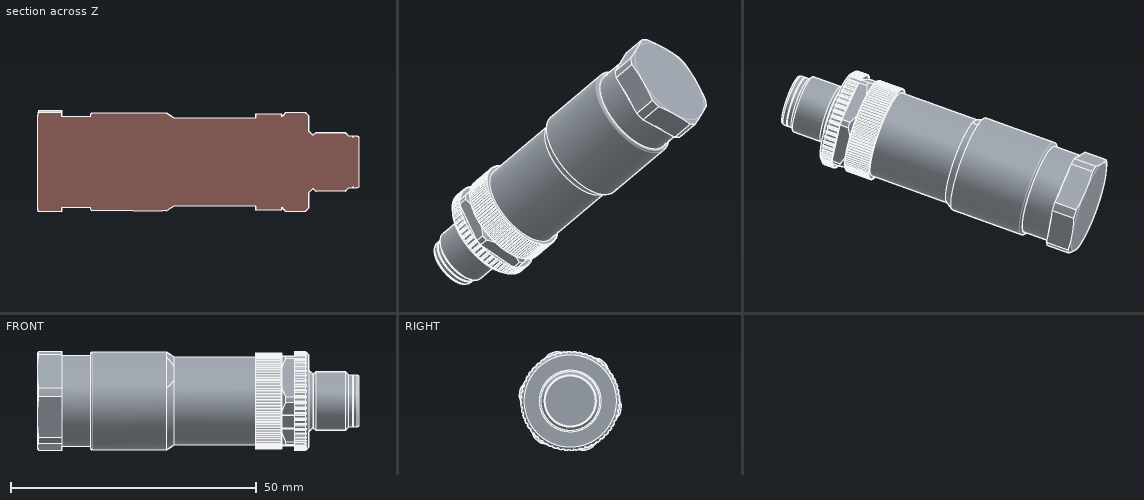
import cadquery as cq
import math


CAP_LENGTH = 5.0
CAP_FLATS = 19.0
CAP_CORNER_R = 10.5
CAP_CHAMFER = 0.25
CAP_CORNER_ANGLE = -9.8

NECK_R = 18.6 / 2
SLEEVE_R = 20.0 / 2
SLEEVE_START = 10.8
SLEEVE_END = 26.25
SLEEVE_ROUND = 0.4
TAPER_END = 27.85
BODY_R = 18.0 / 2

FACET_ANGLE = 140.5
FACET_START_R = 9.1
FACET_END_R = 8.85

COLLAR_START = 44.4
COLLAR_R = 9.8
COLLAR_TEETH = 100
COLLAR_TOOTH_DEPTH = 0.165
COLLAR_CHAMFER = 0.2

HEX_START = 49.8
HEX_FLATS = 18.1
HEX_CORNER_R = 20.25 / 2
HEX_CHAMFER = 0.8
HEX_CORNER_ANGLE = -1.6

SLOT_ANGLE = HEX_CORNER_ANGLE + 210
SLOT_WIDTH = 3.1
SLOT_DEPTH = 0.25

RING_START = 52.35
RING_END = 55.3
RING_CHAMFER = 0.7
RING_TEETH = 54
RING_NOTCH_DEPTH = 0.23
RING_CREST_SHARE = 0.5
RING_FLOOR_SHARE = 0.2

INDEX_ANGLE = HEX_CORNER_ANGLE + 120
INDEX_WIDTH = 1.2

FLANGE_R = 6.3
PLUG_NECK_R = 5.5
BARREL_START = 56.2
BARREL_R = 12.0 / 2
BARREL_END = 63.35
BARREL_CONE_LENGTH = 0.6
TIP_GROOVE_START = 64.2
TIP_GROOVE_WIDTH = 0.1
TIP_GROOVE_R = 10.3 / 2
TIP_R = 10.6 / 2
TIP_CHAMFER_LENGTH = 0.4
TIP_CHAMFER_DROP = 0.2
TOTAL_LENGTH = 65.5


def turned(points):
    """Revolve an (X, radius) outline, closed along the axis, around X."""
    outline = [(points[0][0], 0)] + points + [(points[-1][0], 0)]
    return cq.Workplane("XY").polyline(outline).close().revolve(360, (0, 0, 0), (1, 0, 0))


def along_x(start):
    """Workplane across the axis at the given X."""
    return cq.Workplane("YZ", origin=(start, 0, 0))


def about_x(body, angle):
    return body.rotate((0, 0, 0), (1, 0, 0), angle)


def polar(radius, angle):
    return (radius * math.cos(angle), radius * math.sin(angle))


def hex_prism(start, end, across_flats, corner_angle):
    """Hexagonal bar with one corner at the given angle."""
    sharp_corner_r = across_flats / 2 / math.cos(math.pi / 6)
    corners = [
        polar(sharp_corner_r, math.radians(corner_angle + 60 * side))
        for side in range(6)
    ]
    return along_x(start).polyline(corners).close().extrude(end - start)


def hex_cap():
    blank = turned([
        (0, CAP_FLATS / 2),
        (CAP_CHAMFER, CAP_CORNER_R),
        (CAP_LENGTH, CAP_CORNER_R),
    ])
    return blank.intersect(hex_prism(0, CAP_LENGTH, CAP_FLATS, CAP_CORNER_ANGLE))


def housing():
    neck = along_x(CAP_LENGTH).circle(NECK_R).extrude(SLEEVE_START - CAP_LENGTH)
    sleeve = along_x(SLEEVE_START).circle(SLEEVE_R).extrude(SLEEVE_END - SLEEVE_START)
    sleeve = sleeve.faces("<X").edges().fillet(SLEEVE_ROUND)
    taper = turned([
        (SLEEVE_END, SLEEVE_R),
        (TAPER_END, BODY_R),
        (COLLAR_START, BODY_R),
    ])
    facet_cut = (
        cq.Workplane("XY")
        .polyline([
            (SLEEVE_END, FACET_START_R),
            (TAPER_END, FACET_END_R),
            (TAPER_END, SLEEVE_R),
            (SLEEVE_END, SLEEVE_R),
        ])
        .close()
        .extrude(SLEEVE_R, both=True)
    )
    return neck.union(sleeve).union(taper.cut(about_x(facet_cut, FACET_ANGLE)))


def knurled_collar():
    """Sharp V-shaped teeth all around, chamfered at the end by the hex."""
    pitch = 2 * math.pi / COLLAR_TEETH
    outline = []
    for tooth in range(COLLAR_TEETH):
        outline.append(polar(COLLAR_R, tooth * pitch))
        outline.append(polar(COLLAR_R - COLLAR_TOOTH_DEPTH, (tooth + 0.5) * pitch))
    knurl = along_x(COLLAR_START).polyline(outline).close().extrude(HEX_START - COLLAR_START)
    blank = turned([
        (COLLAR_START, COLLAR_R),
        (HEX_START - COLLAR_CHAMFER, COLLAR_R),
        (HEX_START, COLLAR_R - COLLAR_CHAMFER),
    ])
    return knurl.intersect(blank)


def radial_bar(start, end, mid_radius, height, width, angle):
    """Straight bar along X, centred at a radius and angle."""
    bar = cq.Workplane("XY").box(end - start, height, width, centered=(False, True, True))
    return about_x(bar.translate((start, mid_radius, 0)), angle)


def nut_hex():
    blank = turned([
        (HEX_START, HEX_CORNER_R - HEX_CHAMFER),
        (HEX_START + HEX_CHAMFER, HEX_CORNER_R),
        (RING_START, HEX_CORNER_R),
    ])
    slot = radial_bar(
        HEX_START, RING_START, HEX_FLATS / 2, 2 * SLOT_DEPTH, SLOT_WIDTH, SLOT_ANGLE
    )
    return blank.intersect(hex_prism(HEX_START, RING_START, HEX_FLATS, HEX_CORNER_ANGLE)).cut(slot)


def notched_ring():
    """Flat-topped teeth, one centred on each hex corner, with a wider index land."""
    pitch = 2 * math.pi / RING_TEETH
    half_crest = RING_CREST_SHARE * pitch / 2
    half_floor = RING_FLOOR_SHARE * pitch / 2
    floor_r = HEX_CORNER_R - RING_NOTCH_DEPTH
    outline = []
    for tooth in range(RING_TEETH):
        crest = math.radians(HEX_CORNER_ANGLE) + tooth * pitch
        floor = crest + pitch / 2
        outline.append(polar(HEX_CORNER_R, crest - half_crest))
        outline.append(polar(HEX_CORNER_R, crest + half_crest))
        outline.append(polar(floor_r, floor - half_floor))
        outline.append(polar(floor_r, floor + half_floor))
    ring = along_x(RING_START).polyline(outline).close().extrude(RING_END - RING_START)
    blank = turned([
        (RING_START, HEX_CORNER_R),
        (RING_END - RING_CHAMFER, HEX_CORNER_R),
        (RING_END, HEX_CORNER_R - RING_CHAMFER),
    ])
    index_land = radial_bar(
        RING_START, RING_END, floor_r, 2 * RING_CHAMFER, INDEX_WIDTH, INDEX_ANGLE
    )
    return ring.union(index_land).intersect(blank)


def plug():
    return turned([
        (RING_END, FLANGE_R),
        (RING_END + FLANGE_R - PLUG_NECK_R, PLUG_NECK_R),
        (BARREL_START, PLUG_NECK_R),
        (BARREL_START + BARREL_R - PLUG_NECK_R, BARREL_R),
        (BARREL_END - BARREL_CONE_LENGTH, BARREL_R),
        (BARREL_END, TIP_R),
        (TIP_GROOVE_START, TIP_R),
        (TIP_GROOVE_START, TIP_GROOVE_R),
        (TIP_GROOVE_START + TIP_GROOVE_WIDTH, TIP_GROOVE_R),
        (TIP_GROOVE_START + TIP_GROOVE_WIDTH, TIP_R),
        (TOTAL_LENGTH - TIP_CHAMFER_LENGTH, TIP_R),
        (TOTAL_LENGTH, TIP_R - TIP_CHAMFER_DROP),
    ])


result = (
    hex_cap()
    .union(housing())
    .union(knurled_collar())
    .union(nut_hex())
    .union(notched_ring())
    .union(plug())
)